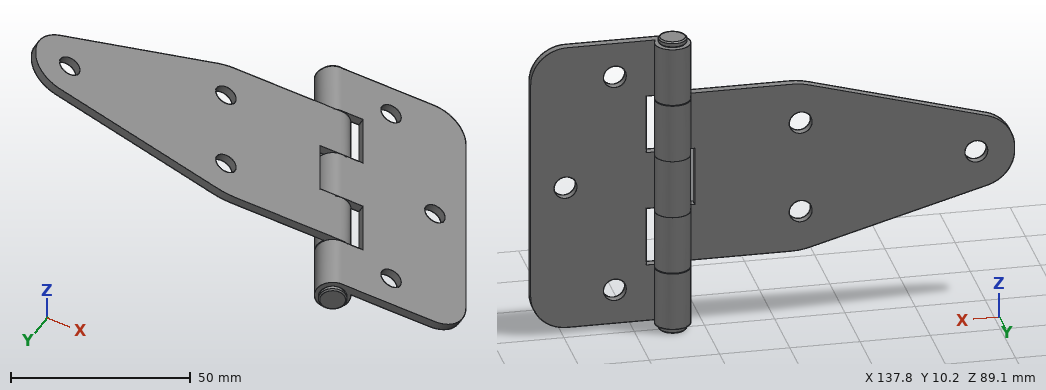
import cadquery as cq

knuckle_diameter = 10.2
bore_diameter = 5.0
knuckle_radius = knuckle_diameter / 2
sheet_thickness = 2.5
front_y = -knuckle_radius
knuckle_length = 17.1
hinge_height = 5 * knuckle_length
window_reach = 6.9
end_clearance = 0.1

strap_length = 98.0
strap_half_width = 1.5 * knuckle_length - end_clearance
taper_start = 37.0
taper_end = 90.2
taper_end_half_width = 10.6
tip_flat_half_width = 1.5
taper_radius = 19.8
strap_tip_hole = 87.0
strap_pair_hole = 37.0
strap_pair_height = 13.5

butt_length = 39.8
butt_corner_radius = 10.3
butt_middle_hole = 29.9
butt_pair_hole = 15.8
butt_pair_height = 32.5

hole_diameter = 6.5

head_diameter = 8.0
head_height = 1.8
head_chamfer = 0.4


def knuckle_barrel(length):
    """Solid barrel centred on mid-height, before boring and windowing."""
    return (
        cq.Workplane("XY")
        .workplane(offset=-length / 2)
        .circle(knuckle_radius)
        .extrude(length)
    )


def sheet_sketch():
    """XZ sketch plane on the front face of the leaves."""
    return cq.Workplane("XZ", origin=(0, front_y, 0))


def sheet(outline):
    """Flat sheet from an XZ outline, its front face tangent to the knuckles."""
    return outline.extrude(-sheet_thickness)


def window(z_middle, length):
    """Block that clears one knuckle of the other leaf, on both sides of the axis."""
    block = cq.Workplane("XY").box(2 * window_reach, 2 * knuckle_diameter, length)
    return block.translate((0, 0, z_middle))


def bore():
    return cq.Workplane("XY").circle(bore_diameter / 2).extrude(hinge_height / 2, both=True)


def screw_holes(places):
    """Cutters through the sheet at (x, z) places."""
    return sheet_sketch().pushPoints(places).circle(hole_diameter / 2).extrude(-sheet_thickness)


def make_strap_leaf():
    half_outline = (
        sheet_sketch()
        .moveTo(0, strap_half_width)
        .lineTo(-taper_start, strap_half_width)
        .lineTo(-taper_end, taper_end_half_width)
        .tangentArcPoint((-strap_length, tip_flat_half_width), relative=False)
        .lineTo(-strap_length, 0)
    )
    leaf = sheet(half_outline.mirrorX())
    for side in (1, -1):
        corner = (-taper_start, front_y + sheet_thickness / 2, side * strap_half_width)
        leaf = leaf.edges(cq.selectors.NearestToPointSelector(corner)).fillet(taper_radius)
    leaf = leaf.union(knuckle_barrel(2 * strap_half_width))
    leaf = leaf.cut(window(0, knuckle_length))
    leaf = leaf.cut(bore())
    return leaf.cut(screw_holes([
        (-strap_tip_hole, 0),
        (-strap_pair_hole, strap_pair_height),
        (-strap_pair_hole, -strap_pair_height),
    ]))


def make_butt_leaf():
    leaf = sheet(
        sheet_sketch().center(butt_length / 2, 0).rect(butt_length, hinge_height)
    )
    leaf = leaf.edges("|Y and >X").fillet(butt_corner_radius)
    leaf = leaf.union(knuckle_barrel(hinge_height))
    window_length = knuckle_length + end_clearance
    for end in (1, -1):
        z_middle = end * (knuckle_length + end_clearance / 2)
        leaf = leaf.cut(window(z_middle, window_length))
    leaf = leaf.cut(bore())
    return leaf.cut(screw_holes([
        (butt_middle_hole, 0),
        (butt_pair_hole, butt_pair_height),
        (butt_pair_hole, -butt_pair_height),
    ]))


def make_pin(end):
    """Headed pin filling half the bore; end is +1 for the top, -1 for the bottom."""
    head = (
        cq.Workplane("XY")
        .workplane(offset=hinge_height / 2)
        .circle(head_diameter / 2)
        .extrude(head_height)
        .faces("|Z").edges()
        .chamfer(head_chamfer)
    )
    shank = cq.Workplane("XY").circle(bore_diameter / 2).extrude(hinge_height / 2)
    pin = head.union(shank)
    return pin if end > 0 else pin.mirror("XY")


strap_leaf = make_strap_leaf()
butt_leaf = make_butt_leaf()
pins = [make_pin(end) for end in (1, -1)]

result = cq.Compound.makeCompound([
    strap_leaf.val(),
    butt_leaf.val(),
    *[pin.val() for pin in pins],
])